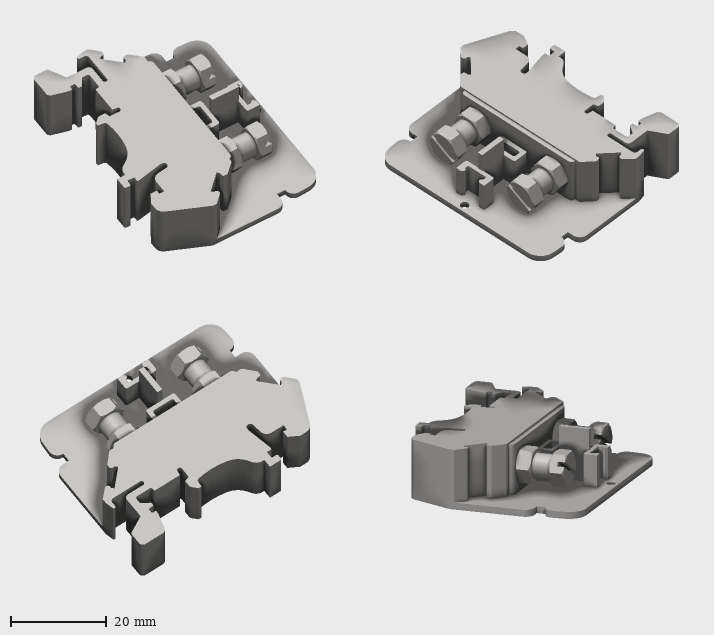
import cadquery as cq
import math

length = 50.0
depth = 41.4
height = 13.0
half_length = length / 2
plate_thickness = 1.5

guide_height = 8.5
guide_sink = 0.25

ledge_half_length = 15.75
ledge_back = 23.8
ledge_top = 12.55
ledge_round = 1.0
shoulder_y = 22.75
ledge_overlap = 0.5

bolt_positions = (-10.9, 10.95)
bolt_z = 7.1
shaft_diameter = 5.5
hex_across_flats = 7.1
hex_across_corners = hex_across_flats / math.cos(math.pi / 6)
hex_thickness = 3.3
hex_chamfer_height = 0.4
hex_chamfer_width = 0.5
bolt_head_back = 34.6
slot_width = 1.0
slot_depth = 1.6
slot_angle = 30.0


def rounded_outline(corners):
    """Closed XY outline through (x, y) or (x, y, radius) corners, each radius rounding its corner."""
    path = []
    for index, (x, y, *radius) in enumerate(corners):
        corner = cq.Vector(x, y)
        if not radius:
            path.append((corner,))
            continue
        previous = cq.Vector(*corners[index - 1][:2])
        following = cq.Vector(*corners[(index + 1) % len(corners)][:2])
        to_previous = (previous - corner).normalized()
        to_following = (following - corner).normalized()
        half_angle = to_previous.getAngle(to_following) / 2
        setback = radius[0] / math.tan(half_angle)
        arc_gap = radius[0] / math.sin(half_angle) - radius[0]
        arc_middle = corner + (to_previous + to_following).normalized() * arc_gap
        path.append((corner + to_previous * setback, arc_middle, corner + to_following * setback))

    outline = cq.Workplane("XY").moveTo(*path[0][-1].toTuple()[:2])
    for start, *arc in path[1:] + path[:1]:
        outline = outline.lineTo(start.x, start.y)
        if arc:
            middle, end = arc
            outline = outline.threePointArc((middle.x, middle.y), (end.x, end.y))
    return outline.close()


def mirrored(corners):
    """The same corners reflected in X = 0 and taken in the opposite order."""
    return [(-x, *rest) for x, *rest in reversed(corners)]


def make_plate():
    """Thin side plate with rounded ears, edge notches and one small hole."""
    plate_front = 13.0
    notch_x = 21.45
    ear_round = 2.0
    right_edge = [
        (half_length, plate_front),
        (half_length, 31.15, 2.0),
        (notch_x, 31.15),
        (notch_x, 33.2),
        (23.65, 33.2, ear_round),
        (23.2, depth, 3.8),
    ]
    hole_diameter = 2.0
    hole_y = 39.8
    plate = rounded_outline(right_edge + mirrored(right_edge)).extrude(plate_thickness)
    hole = cq.Workplane("XY").center(0, hole_y).circle(hole_diameter / 2).extrude(plate_thickness)
    return plate.cut(hole)


def make_housing():
    """Full-height block: mirrored dovetail shoulders at the back, rail clips and arch in front."""
    right_shoulder = [
        (half_length, 14.0),
        (22.9, 16.1, 0.5),
        (21.95, 16.1, 0.5),
        (21.95, 15.2, 0.25),
        (21.45, 14.7),
        (17.8, 18.5),
        (18.3, 19.0, 0.25),
        (19.4, 19.0, 0.5),
        (19.4, 20.2),
        (17.0, shoulder_y, 0.5),
    ]
    left_spring_foot = [
        (-half_length, 12.95),
        (-24.5, 10.8, 0.4),
        (-23.8, 10.8, 0.35),
        (-23.8, 12.95, 0.7),
        (-15.6, 12.95, 0.5),
        (-15.6, 11.9, 0.45),
        (-20.95, 11.9, 0.95),
        (-20.95, 6.05),
        (-half_length, 3.85, 0.6),
        (-half_length, 0.0, 1.0),
        (-18.75, 0.0, 1.0),
        (-17.55, 4.45),
        (-17.55, 5.25, 0.2),
        (-18.55, 5.3, 0.25),
        (-18.55, 6.5),
        (-17.2, 6.6),
        (-17.2, 7.4, 0.2),
        (-19.2, 8.7),
        (-19.2, 10.4, 0.5),
        (-15.15, 10.4, 0.2),
        (-14.95, 9.35),
        (-8.45, 9.35),
    ]
    middle_arch = [
        (-8.25, 10.9, 0.5),
        (-7.2, 10.9, 0.5),
        (-7.2, 7.85),
        (-8.4, 7.6, 0.2),
        (-8.4, 5.8, 1.0),
        (-7.1, 4.45),
        (-6.4, 4.45),
        (-6.2, 6.3, 0.55),
        (-2.25, 7.05, 19.0),
        (3.8, 5.9, 5.7),
        (6.35, 2.05, 2.25),
        (8.05, 2.05),
    ]
    right_hook_foot = [
        (8.05, 0.0),
        (11.1, 0.0, 0.35),
        (11.1, 1.55, 0.35),
        (9.6, 1.55, 0.2),
        (9.6, 3.25),
        (10.8, 3.25),
        (10.8, 3.9),
        (9.55, 9.75),
        (9.55, 10.95, 0.65),
        (10.95, 10.95, 0.65),
        (11.6, 6.5, 1.8),
        (16.2, 6.5),
        (16.2, 5.3),
        (15.2, 5.3),
        (15.2, 3.75),
        (17.55, 2.4, 0.25),
        (20.4, 2.4, 2.0),
        (half_length, 12.95),
    ]
    corners = right_shoulder + mirrored(right_shoulder) + left_spring_foot + middle_arch + right_hook_foot
    return rounded_outline(corners).extrude(height)


def make_ledge():
    """Slightly lower strip along the back of the housing, against which the nuts bear."""
    back_edge = [(ledge_half_length, shoulder_y - ledge_overlap), (ledge_half_length, ledge_back, ledge_round)]
    return rounded_outline(back_edge + mirrored(back_edge)).extrude(ledge_top)


def stand_on_plate(outline, top):
    """Extrude an outline from just inside the plate up to the given height."""
    base = plate_thickness - guide_sink
    return outline.extrude(top - base).translate((0, 0, base))


def make_marker_clip():
    """C-shaped holder with two inward lips, open toward the back."""
    right_half = [
        (4.0, 34.9, 0.5),
        (4.0, 38.1),
        (2.6, 38.1),
        (2.1, 37.6, 0.2),
        (2.1, 37.2, 0.2),
        (2.6, 36.8),
        (2.6, 35.9),
    ]
    return stand_on_plate(rounded_outline(right_half + mirrored(right_half)), guide_height)


def make_wall():
    """Tall thin partition between the two bolts."""
    wall_thickness = 1.25
    wall_front = 28.35
    wall_back = 35.05
    wall_length = wall_back - wall_front
    outline = cq.Workplane("XY").center(0, wall_front + wall_length / 2).rect(wall_thickness, wall_length)
    return stand_on_plate(outline, height)


def make_frame():
    """Rectangular collar around a slot that reaches down to the plate."""
    frame_y = 26.4
    frame_length = 7.4
    frame_width = 3.95
    opening_length = 5.3
    opening_width = 1.9
    corner_round = 0.5

    def block(block_length, block_width):
        outline = cq.Workplane("XY").center(0, frame_y).rect(block_length, block_width)
        return stand_on_plate(outline, guide_height).edges("|Z").fillet(corner_round)

    return block(frame_length, frame_width).cut(block(opening_length, opening_width))


def make_hexagon():
    """Hexagon around +Y from the origin, corners toward +-X, both ends chamfered at the corners."""
    along_y = cq.Workplane("XZ")
    prism = along_y.polygon(6, hex_across_corners).extrude(-hex_thickness)
    turned_blank = (
        along_y.circle(hex_across_corners / 2)
        .extrude(-hex_thickness)
        .faces("<Y or >Y")
        .chamfer(hex_chamfer_height, hex_chamfer_width)
    )
    return prism.intersect(turned_blank)


def make_bolt():
    """Shaft with a nut against the ledge and a slotted hexagon head at the back."""
    head_front = bolt_head_back - hex_thickness
    shaft = (
        cq.Workplane("XZ", origin=(0, ledge_back, 0))
        .circle(shaft_diameter / 2)
        .extrude(ledge_back - head_front)
    )
    slot = (
        cq.Workplane("XY")
        .box(2 * hex_across_corners, 2 * slot_depth, slot_width)
        .rotate((0, 0, 0), (0, 1, 0), -slot_angle)
        .translate((0, bolt_head_back, 0))
    )
    nut = make_hexagon().translate((0, ledge_back, 0))
    head = make_hexagon().translate((0, head_front, 0)).cut(slot)
    return shaft.union(nut).union(head)


result = make_housing().union(make_plate()).union(make_ledge())
for guide in (make_marker_clip(), make_wall(), make_frame()):
    result = result.union(guide)
bolt = make_bolt()
for bolt_x in bolt_positions:
    result = result.union(bolt.translate((bolt_x, 0, bolt_z)))